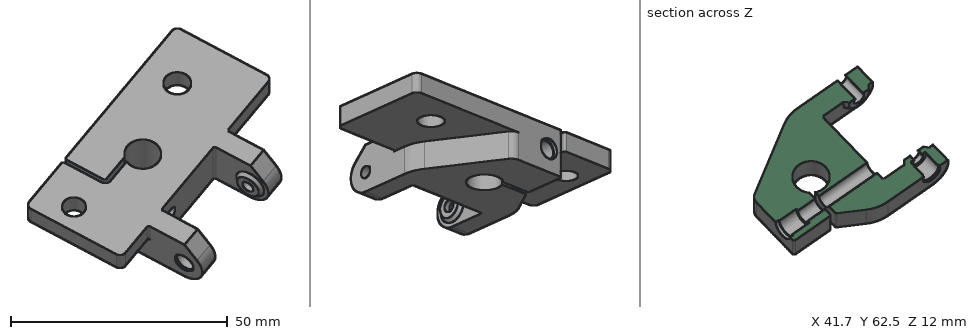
import cadquery as cq
import math


PLATE_LEFT = -14.2
PLATE_RIGHT = 12.5
PLATE_FRONT = -27.5
PLATE_BACK = 35.0
PLATE_THICKNESS = 5.0
PLATE_CORNER_RADIUS = 1.5
TOTAL_HEIGHT = 12.0
PLATE_BOTTOM = TOTAL_HEIGHT - PLATE_THICKNESS

CLAMP_BORE_DIAMETER = 8.5
MOUNT_X = -4.75
MOUNT_SPACING = 21.5
BACK_MOUNT_DIAMETER = 6.4
FRONT_MOUNT_DIAMETER = 5.5

SLOT_WALL_X = -1.9
SLOT_NECK_WIDTH = 1.1
SLOT_BACK_Y = -11.1
SLOT_ARM_WIDTH = 0.95
SLOT_OUTER_RADIUS = 1.5
SMALL_RADIUS = 0.5
SLOT_NECK_X = SLOT_WALL_X - SLOT_NECK_WIDTH
SLOT_FRONT_Y = SLOT_BACK_Y - SLOT_ARM_WIDTH

LUG_INNER_Y = 11.0
LUG_WIDTH = 5.5
LUG_OUTER_Y = LUG_INNER_Y + LUG_WIDTH
LUG_RADIUS = 5.0
PIN_X = 22.5
PIN_Z = LUG_RADIUS
PIN_DIAMETER = 3.0
BOSS_BASE_DIAMETER = 7.7
BOSS_TIP_DIAMETER = 6.0
BOSS_HEIGHT = 1.0

FLANK_ANGLE = math.radians(31)
FLANK_BLEND_RADIUS = 10.0
FLANK_BLEND_X = 9.4
FLANK_CORNER_X = FLANK_BLEND_X - FLANK_BLEND_RADIUS * math.tan(FLANK_ANGLE / 2)
BODY_CORNER_RADIUS = 2.5

SCREW_Y = -7.0
SCREW_Z = 6.0
SCREW_DIAMETER = 3.5

INSERT_DIAMETER = 4.7
INSERT_LEAD_DIAMETER = 5.1
PIN_LEAD_DEPTH = 0.5
PIN_INSERT_DEPTH = 5.0
SCREW_LEAD_DEPTH = 1.0
SCREW_INSERT_DEPTH = 6.0


def box(x_min, x_max, y_min, y_max, z_min, z_max):
    size = (x_max - x_min, y_max - y_min, z_max - z_min)
    return cq.Workplane("XY").box(*size, centered=False).translate((x_min, y_min, z_min))


def cylinder(diameter, start, direction, length):
    axis = cq.Vector(*direction)
    return cq.Workplane(cq.Solid.makeCylinder(diameter / 2, length, cq.Vector(*start), axis))


def make_plate():
    plate = box(PLATE_LEFT, PLATE_RIGHT, PLATE_FRONT, PLATE_BACK, PLATE_BOTTOM, TOTAL_HEIGHT)
    return plate.edges("|Z").fillet(PLATE_CORNER_RADIUS)


def flank_height(x):
    """Distance of the sloping flank line from the XZ plane at a given x."""
    return LUG_OUTER_Y - (FLANK_CORNER_X - x) * math.tan(FLANK_ANGLE)


def round_edge(solid, point, radius):
    """Fillet the vertical edge whose middle is nearest to the point."""
    nearest = cq.selectors.NearestToPointSelector(point)
    return solid.edges("|Z").edges(nearest).fillet(radius)


def make_body():
    """Wedge-shaped body below the plate, with the front left block that the slot separates."""
    outline = [
        (PLATE_RIGHT, LUG_OUTER_Y),
        (FLANK_CORNER_X, LUG_OUTER_Y),
        (PLATE_LEFT, flank_height(PLATE_LEFT)),
        (PLATE_LEFT, SLOT_BACK_Y),
        (SLOT_NECK_X, SLOT_BACK_Y),
        (SLOT_NECK_X, 0),
        (SLOT_WALL_X, 0),
        (SLOT_WALL_X, -flank_height(SLOT_WALL_X)),
        (FLANK_CORNER_X, -LUG_OUTER_Y),
        (PLATE_RIGHT, -LUG_OUTER_Y),
    ]
    body = cq.Workplane("XY").polyline(outline).close().extrude(PLATE_BOTTOM)

    mid_z = PLATE_BOTTOM / 2
    for y in (LUG_OUTER_Y, -LUG_OUTER_Y):
        body = round_edge(body, (FLANK_CORNER_X, y, mid_z), FLANK_BLEND_RADIUS)
    body = round_edge(body, (PLATE_LEFT, flank_height(PLATE_LEFT), mid_z), BODY_CORNER_RADIUS)
    return round_edge(body, (SLOT_WALL_X, -flank_height(SLOT_WALL_X), mid_z), SMALL_RADIUS)


def make_lug(side):
    """Hinge lug at side * LUG_INNER_Y with its conical boss pointing at the other lug."""
    half_diagonal = LUG_RADIUS / math.sqrt(2)
    chamfer_start_x = PIN_X + LUG_RADIUS * math.sqrt(2) - (TOTAL_HEIGHT - PIN_Z)
    profile = (
        cq.Workplane("XZ")
        .moveTo(PLATE_RIGHT, 0)
        .lineTo(PIN_X, 0)
        .threePointArc((PIN_X + LUG_RADIUS, PIN_Z), (PIN_X + half_diagonal, PIN_Z + half_diagonal))
        .lineTo(chamfer_start_x, TOTAL_HEIGHT)
        .lineTo(PLATE_RIGHT, TOTAL_HEIGHT)
        .close()
    )
    lug = profile.extrude(-LUG_WIDTH)
    lug = lug.translate((0, LUG_INNER_Y if side > 0 else -LUG_OUTER_Y, 0))
    boss = cq.Solid.makeCone(
        BOSS_BASE_DIAMETER / 2,
        BOSS_TIP_DIAMETER / 2,
        BOSS_HEIGHT,
        cq.Vector(PIN_X, side * LUG_INNER_Y, PIN_Z),
        cq.Vector(0, -side, 0),
    )
    return lug.union(cq.Workplane(boss))


def lug_root_fillet(y, outward):
    """Concave fillet between the right side of the plate and one lug side."""
    far_x = PLATE_RIGHT + SMALL_RADIUS
    far_y = y + outward * SMALL_RADIUS
    mid_offset = SMALL_RADIUS * (1 - math.sqrt(0.5))
    bottom = PLATE_BOTTOM if abs(y) == LUG_OUTER_Y else 0
    return (
        cq.Workplane("XY")
        .workplane(offset=bottom)
        .moveTo(PLATE_RIGHT, y)
        .lineTo(far_x, y)
        .threePointArc((PLATE_RIGHT + mid_offset, y + outward * mid_offset), (PLATE_RIGHT, far_y))
        .close()
        .extrude(TOTAL_HEIGHT - bottom)
    )


def make_slot():
    """L-shaped slot through the plate; the body outline already leaves its lower part open."""
    neck = box(SLOT_NECK_X, SLOT_WALL_X, SLOT_FRONT_Y, 0, PLATE_BOTTOM, TOTAL_HEIGHT)
    arm = box(PLATE_LEFT, SLOT_WALL_X, SLOT_FRONT_Y, SLOT_BACK_Y, PLATE_BOTTOM, TOTAL_HEIGHT)
    return neck.union(arm).edges("|Z and >X and <Y").fillet(SLOT_OUTER_RADIUS)


def insert_pocket(start, direction, lead_depth, depth):
    """Blind pocket for a threaded insert, with a slightly wider lead-in."""
    lead = cylinder(INSERT_LEAD_DIAMETER, start, direction, lead_depth)
    return lead.union(cylinder(INSERT_DIAMETER, start, direction, depth))


def round_slot_mouth(part):
    """Round the block's slot corners and the plate corner facing them."""
    corners = (
        (PLATE_LEFT, SLOT_BACK_Y, TOTAL_HEIGHT / 2),
        (SLOT_NECK_X, SLOT_BACK_Y, TOTAL_HEIGHT / 2),
        (PLATE_LEFT, SLOT_FRONT_Y, (PLATE_BOTTOM + TOTAL_HEIGHT) / 2),
    )
    for corner in corners:
        part = round_edge(part, corner, SMALL_RADIUS)
    return part


def cut_vertical_holes(part):
    holes = (
        (0, 0, CLAMP_BORE_DIAMETER),
        (MOUNT_X, MOUNT_SPACING, BACK_MOUNT_DIAMETER),
        (MOUNT_X, -MOUNT_SPACING, FRONT_MOUNT_DIAMETER),
    )
    for x, y, diameter in holes:
        part = part.cut(cylinder(diameter, (x, y, 0), (0, 0, 1), TOTAL_HEIGHT))
    return part


result = make_plate().union(make_body())
for side in (1, -1):
    result = result.union(make_lug(side))
    result = result.union(lug_root_fillet(side * LUG_OUTER_Y, side))
    result = result.union(lug_root_fillet(side * LUG_INNER_Y, -side))

result = result.cut(make_slot()).clean()
result = round_slot_mouth(result)
result = cut_vertical_holes(result)

pin_start = (PIN_X, -LUG_OUTER_Y, PIN_Z)
pin_axis = (0, 1, 0)
result = result.cut(cylinder(PIN_DIAMETER, pin_start, pin_axis, 2 * LUG_OUTER_Y))
result = result.cut(insert_pocket(pin_start, pin_axis, PIN_LEAD_DEPTH, PIN_INSERT_DEPTH))

screw_start = (PLATE_LEFT, SCREW_Y, SCREW_Z)
screw_axis = (1, 0, 0)
result = result.cut(cylinder(SCREW_DIAMETER, screw_start, screw_axis, PLATE_RIGHT - PLATE_LEFT))
result = result.cut(insert_pocket(screw_start, screw_axis, SCREW_LEAD_DEPTH, SCREW_INSERT_DEPTH))